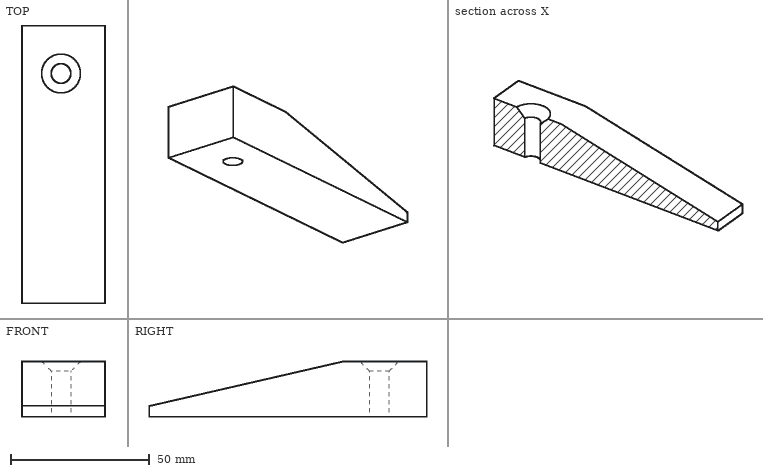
import cadquery as cq

width = 30
length = 100
height = 20
flat_length = 30
tip_height = 3.9

hole_diameter = 7
countersink_diameter = 2 * hole_diameter
countersink_angle = 90
hole_x = 14.1
hole_from_back = 17.2


def wedge_body():
    """Side profile in the YZ plane, extruded across the width from X = 0."""
    profile = [
        (0, 0),
        (length, 0),
        (length, height),
        (length - flat_length, height),
        (0, tip_height),
    ]
    return cq.Workplane("YZ").polyline(profile).close().extrude(width)


def cut_screw_hole(body):
    """Countersunk through hole, slightly off the centre of the width."""
    return (
        body.faces(">Z")
        .workplane(origin=(hole_x, length - hole_from_back, height))
        .cskHole(hole_diameter, countersink_diameter, countersink_angle)
    )


result = cut_screw_hole(wedge_body())